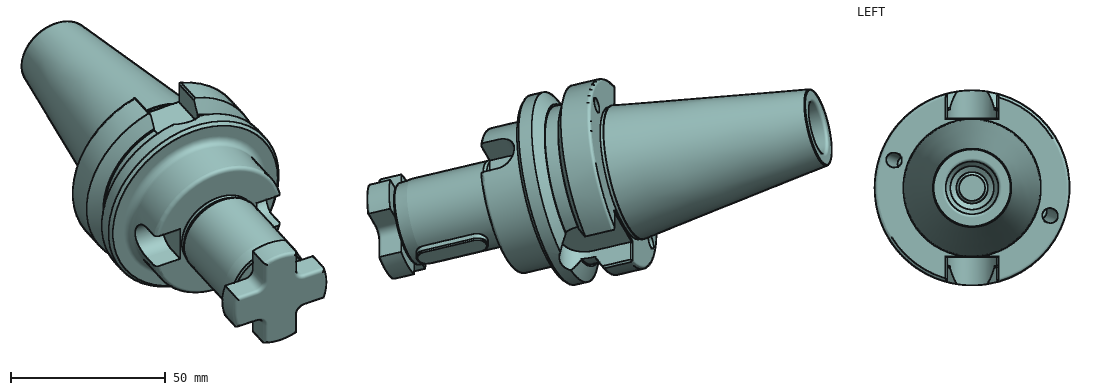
import cadquery as cq
import math

TOTAL_LENGTH = 149.4
GAUGE_X = 65.9
FLANGE_START_X = 67.1
GROOVE_START_X = 77.1
GROOVE_END_X = 87.1
FLANGE_END_X = 92.6
COLLAR_END_X = 108.0
PILOT_START_X = 110.4
PILOT_END_X = 136.5
NOSE_END_X = 141.5

TAPER_SMALL_RADIUS = 12.7
TAPER_LARGE_RADIUS = 22.3
RELIEF_RADIUS = 22.0
FLANGE_RADIUS = 31.5
GROOVE_RADIUS = 26.3
COLLAR_RADIUS = 24.0
PILOT_RADIUS = 14.0
NECK_RADIUS = 13.6

TAPER_END_CHAMFER = 0.3
FLANGE_FILLET = 1.0
FLANGE_END_CHAMFER = 1.0
COLLAR_ROOT_FILLET = 2.4
COLLAR_END_FILLET = 1.3
NECK_LENGTH = 1.3
NOSE_CHAMFER = 0.6

GROOVE_STEP = 0.6
GROOVE_WALL_FOOT_RADIUS = GROOVE_RADIUS + GROOVE_STEP
GROOVE_WALL_ANGLE = 30.0
GROOVE_WALL_RUN = (FLANGE_RADIUS - GROOVE_WALL_FOOT_RADIUS) * math.tan(math.radians(GROOVE_WALL_ANGLE))

BORE_RADIUS = 8.5
BORE_DEPTH = 6.5
BORE_ENTRY_FILLET = 1.0
DRAWBAR_THREAD_RADIUS = 7.0
BORE_STEP_LENGTH = 2.5
DRAWBAR_THREAD_END_X = 31.4
DRILL_POINT_ANGLE = 60.0

SLOT_ANGLES = (0, 180)

SLOT_WIDTH = 16.0
SLOT_HALF_WIDTH = SLOT_WIDTH / 2
SLOT_FLOOR_Z = 22.4
SLOT_END_X = 88.7
SLOT_CHAMFER = 0.6
SLOT_FLOOR_CHAMFER = 0.3

COLLAR_SLOT_WIDTH = 12.1
COLLAR_SLOT_START_X = 95.9
COLLAR_SLOT_FLOOR_Y = 14.2

COOLANT_HOLE_RADIUS = 2.4
COOLANT_PITCH_RADIUS = 26.7
COOLANT_ANGLES = (19.6, 199.6)
COOLANT_TILT = 20.0
COOLANT_DEPTH = 10.5

KEY_START_X = 114.0
KEY_END_X = 138.3
KEY_WIDTH = 6.9
KEY_BOTTOM_Z = -16.0
KEY_HEIGHT = 6.0
KEY_CHAMFER = 0.5

HEAD_RADIUS = 17.3
HEAD_ARM_WIDTH = 12.1
HEAD_CORNER_FILLET = 2.8
HEAD_END_FILLET = 1.2
SHANK_RADIUS = 5.1
SHANK_TIP_X = 89.6
SHANK_TIP_CHAMFER = 0.9


def revolve_about_x(outline):
    """Revolve a closed outline, drawn as X against radius, about the X axis."""
    return outline.close().revolve(360, (0, 0, 0), (1, 0, 0))


def turn_about_x(shape, angle):
    return shape.rotate((0, 0, 0), (1, 0, 0), angle)


def arbor_blank():
    """Turned outer shape of the arbor: taper, flange, collar, pilot and nose."""
    outline = (
        cq.Workplane("XY")
        .lineTo(0, TAPER_SMALL_RADIUS - TAPER_END_CHAMFER)
        .lineTo(TAPER_END_CHAMFER, TAPER_SMALL_RADIUS)
        .lineTo(GAUGE_X, TAPER_LARGE_RADIUS)
        .lineTo(GAUGE_X, RELIEF_RADIUS)
        .lineTo(FLANGE_START_X, RELIEF_RADIUS)
        .lineTo(FLANGE_START_X, FLANGE_RADIUS - FLANGE_FILLET)
        .radiusArc((FLANGE_START_X + FLANGE_FILLET, FLANGE_RADIUS), FLANGE_FILLET)
        .lineTo(GROOVE_START_X, FLANGE_RADIUS)
        .lineTo(GROOVE_START_X + GROOVE_WALL_RUN, GROOVE_WALL_FOOT_RADIUS)
        .lineTo(GROOVE_START_X + GROOVE_WALL_RUN, GROOVE_RADIUS)
        .lineTo(GROOVE_END_X - GROOVE_WALL_RUN, GROOVE_RADIUS)
        .lineTo(GROOVE_END_X - GROOVE_WALL_RUN, GROOVE_WALL_FOOT_RADIUS)
        .lineTo(GROOVE_END_X, FLANGE_RADIUS)
        .lineTo(FLANGE_END_X - FLANGE_END_CHAMFER, FLANGE_RADIUS)
        .lineTo(FLANGE_END_X, FLANGE_RADIUS - FLANGE_END_CHAMFER)
        .lineTo(FLANGE_END_X, COLLAR_RADIUS + COLLAR_ROOT_FILLET)
        .radiusArc((FLANGE_END_X + COLLAR_ROOT_FILLET, COLLAR_RADIUS), -COLLAR_ROOT_FILLET)
        .lineTo(COLLAR_END_X - COLLAR_END_FILLET, COLLAR_RADIUS)
        .radiusArc((COLLAR_END_X, COLLAR_RADIUS - COLLAR_END_FILLET), COLLAR_END_FILLET)
        .lineTo(COLLAR_END_X, NECK_RADIUS)
        .lineTo(COLLAR_END_X + NECK_LENGTH, NECK_RADIUS)
        .lineTo(PILOT_START_X, PILOT_RADIUS)
        .lineTo(PILOT_END_X, PILOT_RADIUS)
        .lineTo(NOSE_END_X - NOSE_CHAMFER, NECK_RADIUS)
        .lineTo(NOSE_END_X, NECK_RADIUS - NOSE_CHAMFER)
        .lineTo(NOSE_END_X, 0)
    )
    return revolve_about_x(outline)


def arbor_bore():
    """Drawbar bore, its thread and drill point, and the screw hole through the rest."""
    step_end_x = BORE_DEPTH + BORE_STEP_LENGTH
    point_length = (DRAWBAR_THREAD_RADIUS - SHANK_RADIUS) / math.tan(math.radians(DRILL_POINT_ANGLE))
    outline = (
        cq.Workplane("XY")
        .lineTo(0, BORE_RADIUS + BORE_ENTRY_FILLET)
        .radiusArc((BORE_ENTRY_FILLET, BORE_RADIUS), -BORE_ENTRY_FILLET)
        .lineTo(BORE_DEPTH, BORE_RADIUS)
        .lineTo(step_end_x, DRAWBAR_THREAD_RADIUS)
        .lineTo(DRAWBAR_THREAD_END_X, DRAWBAR_THREAD_RADIUS)
        .lineTo(DRAWBAR_THREAD_END_X + point_length, SHANK_RADIUS)
        .lineTo(NOSE_END_X, SHANK_RADIUS)
        .lineTo(NOSE_END_X, 0)
    )
    return revolve_about_x(outline)


def drive_slot():
    """Round-ended slot through the flange on the +Z side."""
    centre_x = SLOT_END_X - SLOT_HALF_WIDTH
    return (
        cq.Workplane("XY", origin=(0, 0, SLOT_FLOOR_Z))
        .moveTo(FLANGE_START_X, -SLOT_HALF_WIDTH)
        .lineTo(centre_x, -SLOT_HALF_WIDTH)
        .threePointArc((SLOT_END_X, 0), (centre_x, SLOT_HALF_WIDTH))
        .lineTo(FLANGE_START_X, SLOT_HALF_WIDTH)
        .close()
        .extrude(FLANGE_RADIUS - SLOT_FLOOR_Z)
    )


def drive_slot_bevels():
    """Cutter for the bevels round the mouth and along the rim of the +Z drive slot."""
    half_mouth = SLOT_HALF_WIDTH + SLOT_CHAMFER
    rim_z = math.sqrt(FLANGE_RADIUS**2 - half_mouth**2)
    side_bevels = (
        cq.Workplane("XY", origin=(0, 0, SLOT_FLOOR_Z))
        .moveTo(FLANGE_START_X, -half_mouth)
        .lineTo(FLANGE_START_X + SLOT_CHAMFER, -SLOT_HALF_WIDTH)
        .lineTo(FLANGE_START_X + SLOT_CHAMFER, SLOT_HALF_WIDTH)
        .lineTo(FLANGE_START_X, half_mouth)
        .close()
        .extrude(FLANGE_RADIUS - SLOT_FLOOR_Z)
    )
    floor_bevel = (
        cq.Workplane("XZ", origin=(0, half_mouth, 0))
        .moveTo(FLANGE_START_X, SLOT_FLOOR_Z - SLOT_FLOOR_CHAMFER)
        .lineTo(FLANGE_START_X + SLOT_FLOOR_CHAMFER, SLOT_FLOOR_Z)
        .lineTo(FLANGE_START_X, SLOT_FLOOR_Z)
        .close()
        .extrude(2 * half_mouth)
    )
    rim_bevels = (
        cq.Workplane("YZ", origin=(FLANGE_START_X, 0, 0))
        .moveTo(-SLOT_HALF_WIDTH, rim_z - SLOT_CHAMFER)
        .lineTo(-half_mouth, rim_z)
        .lineTo(-half_mouth, FLANGE_RADIUS)
        .lineTo(half_mouth, FLANGE_RADIUS)
        .lineTo(half_mouth, rim_z)
        .lineTo(SLOT_HALF_WIDTH, rim_z - SLOT_CHAMFER)
        .close()
        .extrude(GROOVE_START_X + GROOVE_WALL_RUN - FLANGE_START_X)
    )
    return side_bevels.union(floor_bevel).union(rim_bevels)


def collar_slot():
    """Round-ended slot on the -Y side of the collar, open at the collar end."""
    half = COLLAR_SLOT_WIDTH / 2
    centre_x = COLLAR_SLOT_START_X + half
    return (
        cq.Workplane("XZ", origin=(0, -COLLAR_SLOT_FLOOR_Y, 0))
        .moveTo(COLLAR_END_X, -half)
        .lineTo(centre_x, -half)
        .threePointArc((COLLAR_SLOT_START_X, 0), (centre_x, half))
        .lineTo(COLLAR_END_X, half)
        .close()
        .extrude(COLLAR_RADIUS - COLLAR_SLOT_FLOOR_Y)
    )


def coolant_hole(angle):
    """Blind hole in the flange face, leaning towards the axis as it goes in."""
    tilt = math.radians(COOLANT_TILT)
    direction = cq.Vector(math.cos(tilt), -math.sin(tilt), 0)
    entry = cq.Vector(FLANGE_START_X, COOLANT_PITCH_RADIUS, 0)
    lead_in = direction * COOLANT_HOLE_RADIUS
    hole = cq.Solid.makeCylinder(
        COOLANT_HOLE_RADIUS, COOLANT_DEPTH + COOLANT_HOLE_RADIUS, entry - lead_in, direction
    )
    return turn_about_x(cq.Workplane(hole), angle)


def make_key():
    """Round-ended key seated in the -Z side of the pilot."""
    length = KEY_END_X - KEY_START_X
    return (
        cq.Workplane("XY", origin=((KEY_START_X + KEY_END_X) / 2, 0, KEY_BOTTOM_Z))
        .slot2D(length, KEY_WIDTH)
        .extrude(KEY_HEIGHT)
        .faces("<Z")
        .chamfer(KEY_CHAMFER)
    )


def make_screw():
    """Cross-shaped head with a round shank that fills the end of the screw hole."""
    head_length = TOTAL_LENGTH - NOSE_END_X
    head_plane = cq.Workplane("YZ", origin=(NOSE_END_X, 0, 0))
    cross = (
        head_plane.rect(2 * HEAD_RADIUS, HEAD_ARM_WIDTH).extrude(head_length)
        .union(head_plane.rect(HEAD_ARM_WIDTH, 2 * HEAD_RADIUS).extrude(head_length))
    )
    inner_half = HEAD_ARM_WIDTH / 2 + HEAD_CORNER_FILLET
    inner_corners = cq.selectors.BoxSelector(
        (NOSE_END_X, -inner_half, -inner_half), (TOTAL_LENGTH, inner_half, inner_half)
    )
    cross = cross.edges("|X").edges(inner_corners).fillet(HEAD_CORNER_FILLET)
    head = cross.intersect(head_plane.circle(HEAD_RADIUS).extrude(head_length))
    head = head.faces(">X").edges().fillet(HEAD_END_FILLET)
    shank = (
        cq.Workplane("YZ", origin=(SHANK_TIP_X, 0, 0))
        .circle(SHANK_RADIUS)
        .extrude(NOSE_END_X - SHANK_TIP_X)
        .faces("<X")
        .chamfer(SHANK_TIP_CHAMFER)
    )
    return head.union(shank)


def make_arbor(key):
    """Arbor with its bore, slots and coolant holes, and a seat matching the key."""
    arbor = arbor_blank().cut(arbor_bore())
    for angle in SLOT_ANGLES:
        arbor = arbor.cut(turn_about_x(drive_slot(), angle))
        arbor = arbor.cut(turn_about_x(drive_slot_bevels(), angle))
        arbor = arbor.cut(turn_about_x(collar_slot(), angle))
    for angle in COOLANT_ANGLES:
        arbor = arbor.cut(coolant_hole(angle))
    return arbor.cut(key)


key = make_key()
screw = make_screw()
arbor = make_arbor(key)

result = cq.Compound.makeCompound([arbor.val(), key.val(), screw.val()])